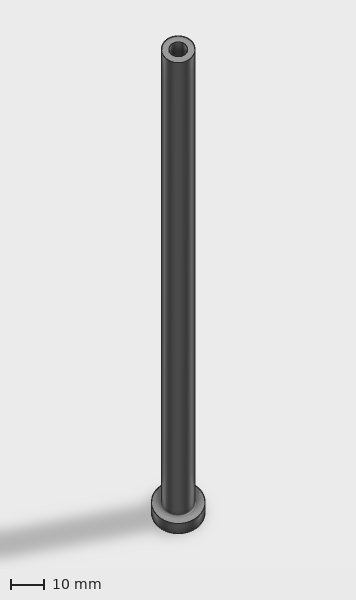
import cadquery as cq

total_length = 230.0
head_diameter = 16.0
head_height = 5.0
tube_diameter = 10.0
bore_diameter = 5.5
neck_fillet_radius = 0.5


def make_head():
    """Flat round head at the base of the sleeve."""
    return cq.Workplane("XY").circle(head_diameter / 2).extrude(head_height)


def make_tube():
    """Long round shank rising from the base through the head."""
    return cq.Workplane("XY").circle(tube_diameter / 2).extrude(total_length)


def round_neck(body):
    """Small fillet where the tube leaves the top face of the head."""
    tube_side = cq.selectors.NearestToPointSelector((0, 0, total_length / 2))
    neck_edge = body.faces(tube_side).edges("<Z")
    return neck_edge.fillet(neck_fillet_radius)


def make_bore():
    """Straight bore along the whole length."""
    return cq.Workplane("XY").circle(bore_diameter / 2).extrude(total_length)


sleeve = round_neck(make_head().union(make_tube()))
result = sleeve.cut(make_bore())